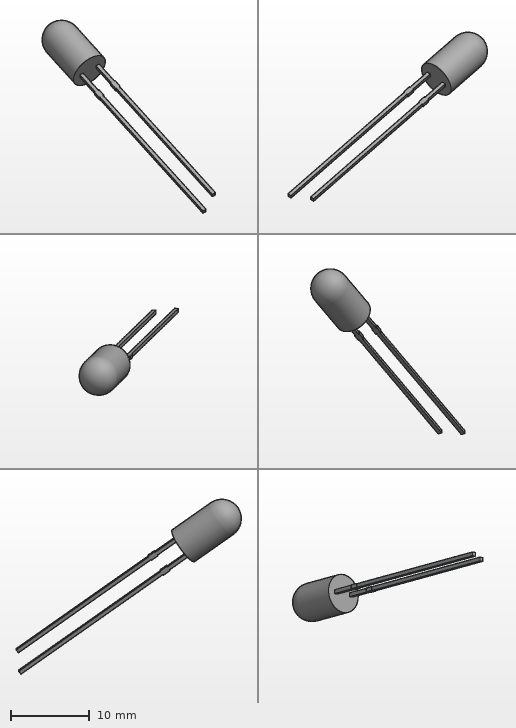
import cadquery as cq

total_length = 35.6
body_diameter = 5.0
body_length = 8.6

lead_width = 0.5
lead_pitch = 2.53
short_lead_setback = 1.5

stop_width = 0.7
stop_start = 3.35
stop_length = 1.07

body_radius = body_diameter / 2
long_lead_length = total_length - body_length
short_lead_length = long_lead_length - short_lead_setback


def make_body():
    """Cylinder with a hemispherical front end, revolved about X."""
    dome_sketch = (
        cq.Workplane("XY")
        .moveTo(0, 0)
        .radiusArc((body_radius, body_radius), body_radius)
        .lineTo(body_length, body_radius)
        .lineTo(body_length, 0)
        .close()
    )
    return dome_sketch.revolve(360, (0, 0, 0), (1, 0, 0))


def make_lead(length, y_center):
    """Square lead with its stop, starting on the rear face of the body."""
    wire = (
        cq.Workplane("XY")
        .box(length, lead_width, lead_width, centered=(False, True, True))
    )
    stop = (
        cq.Workplane("XY")
        .box(stop_length, stop_width, lead_width, centered=(False, True, True))
        .translate((stop_start, 0, 0))
    )
    return wire.union(stop).translate((body_length, y_center, 0))


long_lead = make_lead(long_lead_length, -lead_pitch / 2)
short_lead = make_lead(short_lead_length, lead_pitch / 2)

result = make_body().union(long_lead).union(short_lead)